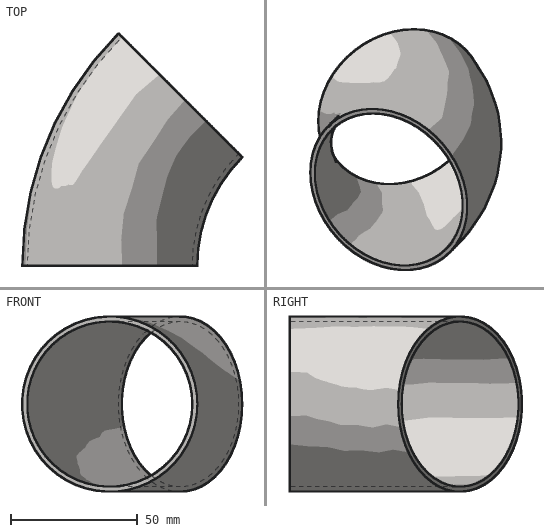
import cadquery as cq
import math

LENGTH_Y = 91.6
BEND_ANGLE = 45.0
OUTER_DIAMETER = 69.0
WALL = 2.0

outer_radius = OUTER_DIAMETER / 2
inner_radius = outer_radius - WALL

bend_radius = LENGTH_Y / math.sin(math.radians(BEND_ANGLE)) - outer_radius

end_ring = cq.Workplane("XZ").circle(outer_radius).circle(inner_radius)

axis_start = (bend_radius, 0)
axis_end = (bend_radius, -1)
result = end_ring.revolve(BEND_ANGLE, axis_start, axis_end)